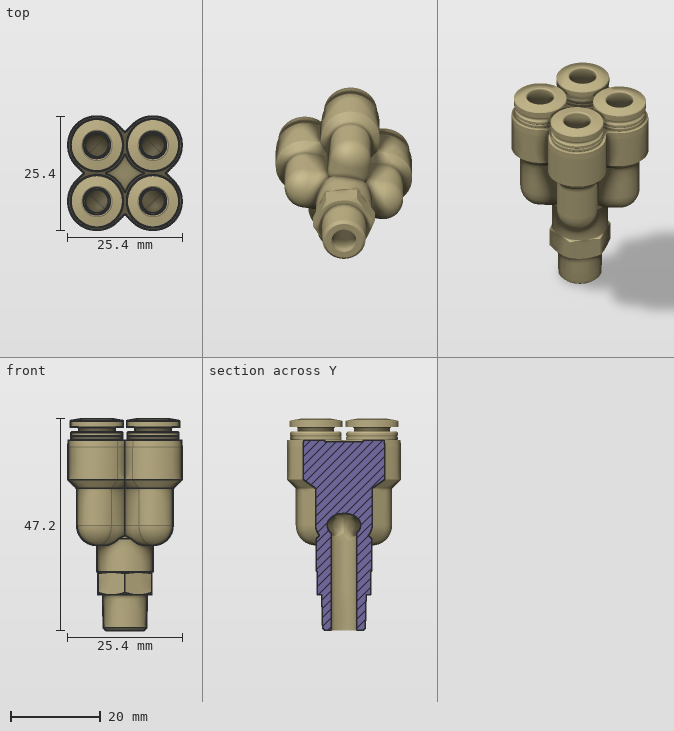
import cadquery as cq
import math

total_height = 47.2
port_spacing = 12.5
port_offset = port_spacing / 2
diagonal_reach = port_offset * math.sqrt(2)
corner_angles = [45 + 90 * i for i in range(4)]

thread_end_radius = 4.2
thread_small_radius = 4.8
thread_large_radius = 5.0
thread_chamfer_height = 0.6

hex_bottom = 8.0
hex_top = 13.0
hex_across_flats = 12.0
hex_corner_radius = hex_across_flats / 2 / math.cos(math.radians(30))
hex_face_radius = 6.05
hex_bottom_chamfer = 0.5
hex_top_chamfer = 0.25

stem_bottom = 13.15
undercut_radius = hex_across_flats / 2
stem_radius = 12.5 / 2
stem_edge_height = 20.45
stem_chamfer = 1.9

lobe_radius = 4.5
lobe_center_height = 23.45
shoulder_top = 33.65
head_radius = 6.45
shoulder_bottom = shoulder_top - (head_radius - lobe_radius)
head_taper_start = 40.9
body_top = 42.45
body_top_radius = 6.35

recess_corner_radius = 0.15
recess_depth = 0.3

cartridge_radius = 11.5 / 2
cartridge_top = 44.3
cartridge_chamfer = 0.3
groove_height = 43.3
groove_depth = 0.15
neck_radius = 8.1 / 2
neck_flare = 0.2
collar_radius = 11.8 / 2
collar_bottom = 45.3
collar_edge_height = 46.65
collar_edge_chamfer = 0.15

tube_radius = 6.0 / 2
tube_mouth_round = 0.4
tube_seat_height = shoulder_top
channel_radius = 5.2 / 2
outlet_radius = 5.55 / 2


def revolve(points):
    """Solid of revolution about Z from (radius, height) points."""
    return cq.Workplane("XZ").polyline(points).close().revolve(360, (0, 0, 0), (0, 1, 0))


def at_each_port(shape):
    """Copies of a shape built along +X, turned to the four diagonals and joined."""
    joined = cq.Workplane("XY")
    for angle in corner_angles:
        joined = joined.union(shape.rotate((0, 0, 0), (0, 0, 1), angle))
    return joined


def make_thread():
    return revolve([
        (0, 0),
        (thread_end_radius, 0),
        (thread_small_radius, thread_chamfer_height),
        (thread_large_radius, hex_bottom),
        (0, hex_bottom),
    ])


def make_hexagon():
    """Hexagon with flats facing +/-X and both ends cone-chamfered."""
    prism = (
        cq.Workplane("XY")
        .workplane(offset=hex_bottom)
        .polygon(6, 2 * hex_corner_radius)
        .extrude(hex_top - hex_bottom)
        .rotate((0, 0, 0), (0, 0, 1), 30)
    )
    chamfer_envelope = revolve([
        (0, hex_bottom),
        (hex_face_radius, hex_bottom),
        (hex_corner_radius, hex_bottom + hex_bottom_chamfer),
        (hex_corner_radius, hex_top - hex_top_chamfer),
        (hex_face_radius, hex_top),
        (0, hex_top),
    ])
    return prism.intersect(chamfer_envelope)


def make_stem():
    stem_top = stem_edge_height + stem_chamfer
    return revolve([
        (0, hex_top),
        (undercut_radius, hex_top),
        (undercut_radius, stem_bottom),
        (stem_radius, stem_bottom),
        (stem_radius, stem_edge_height),
        (stem_radius - stem_chamfer, stem_top),
        (0, stem_top),
    ])


def arm_half_section(plane):
    """Half cross-section of an arm: round bottom, shoulder and wider tapered head."""
    arc_leg = lobe_radius * math.sqrt(0.5)
    return (
        cq.Workplane(plane)
        .moveTo(0, lobe_center_height - lobe_radius)
        .threePointArc((arc_leg, lobe_center_height - arc_leg), (lobe_radius, lobe_center_height))
        .lineTo(lobe_radius, shoulder_bottom)
        .lineTo(head_radius, shoulder_top)
        .lineTo(head_radius, head_taper_start)
        .lineTo(body_top_radius, body_top)
        .lineTo(0, body_top)
        .close()
    )


def make_body():
    """Each arm is its section extruded from the centre and revolved at the port axis."""
    round_end = arm_half_section("XZ").revolve(360, (0, 0, 0), (0, 1, 0))
    half_arm = arm_half_section("YZ").extrude(diagonal_reach)
    arm = half_arm.union(half_arm.mirror("XZ")).union(round_end.translate((diagonal_reach, 0, 0)))
    return at_each_port(arm)


def make_recess():
    """Four-pointed pocket left between circles concentric with the ports."""
    pocket = (
        cq.Workplane("XY")
        .workplane(offset=body_top - recess_depth)
        .rect(port_spacing, port_spacing)
        .extrude(recess_depth)
    )
    port_land = cq.Workplane("XY").circle(head_radius).extrude(total_height)
    pocket = pocket.cut(at_each_port(port_land.translate((diagonal_reach, 0, 0))))
    return pocket.edges("|Z").fillet(recess_corner_radius)


def make_port():
    """Cartridge with a V groove, neck and push-in release collar with a coned top."""
    groove_radius = cartridge_radius - groove_depth
    port = revolve([
        (0, body_top),
        (groove_radius, body_top),
        (cartridge_radius, body_top + groove_depth),
        (cartridge_radius, groove_height - groove_depth),
        (groove_radius, groove_height),
        (cartridge_radius, groove_height + groove_depth),
        (cartridge_radius, cartridge_top - cartridge_chamfer),
        (cartridge_radius - cartridge_chamfer, cartridge_top),
        (neck_radius, cartridge_top),
        (neck_radius, collar_bottom - neck_flare),
        (neck_radius + neck_flare, collar_bottom),
        (collar_radius, collar_bottom),
        (collar_radius, collar_edge_height),
        (collar_radius - collar_edge_chamfer, collar_edge_height + collar_edge_chamfer),
        (tube_radius + tube_mouth_round, total_height),
        (0, total_height),
    ])
    return port.translate((diagonal_reach, 0, 0))


def make_passage():
    """Stepped tube bore with a rounded mouth and a ball-ended elbow leading to the centre."""
    round_leg = tube_mouth_round * (1 - math.sqrt(0.5))
    bore = (
        cq.Workplane("XZ")
        .moveTo(0, lobe_center_height)
        .lineTo(channel_radius, lobe_center_height)
        .lineTo(channel_radius, tube_seat_height)
        .lineTo(tube_radius, tube_seat_height)
        .lineTo(tube_radius, total_height - tube_mouth_round)
        .threePointArc(
            (tube_radius + round_leg, total_height - round_leg),
            (tube_radius + tube_mouth_round, total_height),
        )
        .lineTo(0, total_height)
        .close()
        .revolve(360, (0, 0, 0), (0, 1, 0))
    )
    elbow = cq.Workplane("XY").sphere(channel_radius).translate((0, 0, lobe_center_height))
    channel = (
        cq.Workplane("YZ")
        .center(0, lobe_center_height)
        .circle(channel_radius)
        .extrude(diagonal_reach)
    )
    return bore.union(elbow).translate((diagonal_reach, 0, 0)).union(channel)


outlet = cq.Workplane("XY").circle(outlet_radius).extrude(lobe_center_height)

result = (
    make_body()
    .union(make_stem())
    .union(make_hexagon())
    .union(make_thread())
    .cut(make_recess())
    .union(at_each_port(make_port()))
    .cut(at_each_port(make_passage()))
    .cut(outlet)
)